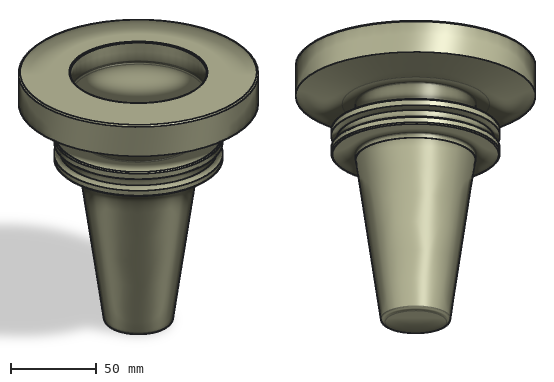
import cadquery as cq
import math

overall_height = 161.6

taper_ratio = 7 / 24
taper_length = 101.6
gauge_radius = 34.9
shank_tip_radius = gauge_radius - taper_length * taper_ratio / 2
shank_tip_fillet = 2.5

neck_radius = 35.0
flange_bottom = 104.9
flange_top = 120.7
flange_radius = 49.3
flange_chamfer = 0.8
groove_radius = 46.0
groove_floor_width = 3.9
groove_middle = 112.6
groove_side_angle = 30.0

head_radius = 70.0
head_rim_height = 20.0
head_height = 25.0
head_bottom_radius = 43.0
head_chamfer = 1.0

bore_radius = 39.8
bore_depth = 14.0
bore_chamfer = 0.6
relief_depth = 0.2
relief_taper_length = 1.0
relief_fillet = 0.8

neck_fillet = 0.5

groove_floor_half = groove_floor_width / 2
groove_side_height = (flange_radius - groove_radius) * math.tan(math.radians(groove_side_angle))
groove_mouth_half = groove_floor_half + groove_side_height


def revolve_profile(points):
    """Revolve a closed (radius, z) outline around the Z axis."""
    return cq.Workplane("XZ").polyline(points).close().revolve(360, (0, 0), (0, 1))


def make_shank():
    shank = revolve_profile([
        (0, 0),
        (shank_tip_radius, 0),
        (gauge_radius, taper_length),
        (0, taper_length),
    ])
    return shank.faces("<Z").edges().fillet(shank_tip_fillet)


def make_neck():
    neck_length = overall_height - head_height - taper_length
    return (
        cq.Workplane("XY")
        .workplane(offset=taper_length)
        .circle(neck_radius)
        .extrude(neck_length)
    )


def make_flange():
    return revolve_profile([
        (0, flange_bottom),
        (flange_radius - flange_chamfer, flange_bottom),
        (flange_radius, flange_bottom + flange_chamfer),
        (flange_radius, groove_middle - groove_mouth_half),
        (groove_radius, groove_middle - groove_floor_half),
        (groove_radius, groove_middle + groove_floor_half),
        (flange_radius, groove_middle + groove_mouth_half),
        (flange_radius, flange_top - flange_chamfer),
        (flange_radius - flange_chamfer, flange_top),
        (0, flange_top),
    ])


def make_head():
    head_bottom = overall_height - head_height
    return revolve_profile([
        (0, head_bottom),
        (head_bottom_radius, head_bottom),
        (head_radius, overall_height - head_rim_height),
        (head_radius, overall_height - head_chamfer),
        (head_radius - head_chamfer, overall_height),
        (0, overall_height),
    ])


def round_neck_corners(body):
    """Fillet the inside corners between the neck and the faces it meets."""
    reach = neck_radius + 0.2
    for corner_z in (flange_bottom, flange_top, overall_height - head_height):
        corner_box = cq.selectors.BoxSelector(
            (-reach, -reach, corner_z - 0.2),
            (reach, reach, corner_z + 0.2),
            boundingbox=True,
        )
        body = body.edges(corner_box).fillet(neck_fillet)
    return body


def make_bore():
    """Blind bore that widens slightly into a relief and meets its floor in a fillet."""
    floor = overall_height - bore_depth
    relief_radius = bore_radius + relief_depth
    fillet_center_radius = relief_radius - relief_fillet
    fillet_top = floor + relief_fillet
    diagonal = relief_fillet * math.sqrt(0.5)
    return (
        cq.Workplane("XZ")
        .moveTo(0, floor)
        .lineTo(fillet_center_radius, floor)
        .threePointArc((fillet_center_radius + diagonal, fillet_top - diagonal), (relief_radius, fillet_top))
        .lineTo(bore_radius, fillet_top + relief_taper_length)
        .lineTo(bore_radius, overall_height - bore_chamfer)
        .lineTo(bore_radius + bore_chamfer, overall_height)
        .lineTo(0, overall_height)
        .close()
        .revolve(360, (0, 0), (0, 1))
    )


body = make_shank().union(make_neck()).union(make_flange()).union(make_head())
result = round_neck_corners(body).cut(make_bore())